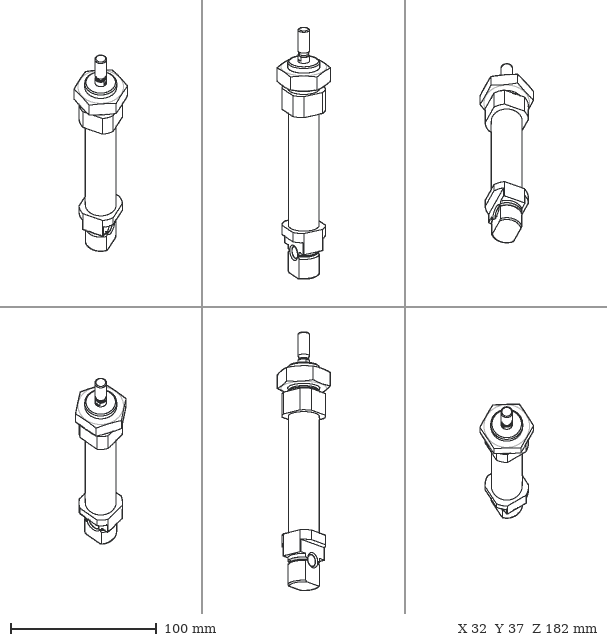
import cadquery as cq
import math

OVERALL_LENGTH = 182.0
EYE_HOLE_Z = 17.1
REAR_CAP_BOTTOM = 20.2
EYE_TOP = 29.1
TUBE_BOTTOM = 36.0
TUBE_TOP = 122.3
FRONT_BLOCK_TOP = 138.0
NUT_BOTTOM = 142.5
NUT_HEIGHT = 11.3
COLLAR_TOP = 158.2

TUBE_DIAMETER = 21.3
CAP_ACROSS_FLATS = 26.0
CAP_CORNER_DIAMETER = 30.0
THREAD_DIAMETER = 22.0
THREAD_CHAMFER = 1.0

RELIEF_DIAMETER = 19.7
RELIEF_WIDTH = 2.5
RELIEF_CORNER_RADIUS = 0.8
FRONT_RELIEF_SHOULDER = 140.0
REAR_RELIEF_SHOULDER = 17.7

EYE_THICKNESS = 16.0
EYE_HOLE_DIAMETER = 8.0
EYE_MOUTH_DIAMETER = 10.7
EYE_STEP_DIAMETER = 8.5

NUT_ACROSS_FLATS = 32.0
NUT_FACE_DIAMETER = 31.3
NUT_CHAMFER_ANGLE = 15.0

ROD_DIAMETER = 8.0
ROD_TIP_CHAMFER = 0.7
ROD_RELIEF_DIAMETER = 6.4
ROD_SHOULDER = 162.5
ROD_RELIEF_TOP = 163.6
ROD_THREAD_BOTTOM = 165.8
ROD_ACROSS_FLATS = 7.0
ROD_FLATS_BOTTOM = 159.6


def cylinder(diameter, bottom, top):
    return cq.Workplane("XY").workplane(offset=bottom).circle(diameter / 2).extrude(top - bottom)


def box(size_x, size_y, bottom, top):
    return cq.Workplane("XY").workplane(offset=bottom).rect(size_x, size_y).extrude(top - bottom)


def revolved(profile):
    """Turn a closed (radius, z) outline about the Z axis."""
    return cq.Workplane("XZ").polyline(profile).close().revolve(360, (0, 0), (0, 1))


def cap_block(bottom, top):
    """Square block whose corners are turned to a round."""
    square = box(CAP_ACROSS_FLATS, CAP_ACROSS_FLATS, bottom, top)
    return square.intersect(cylinder(CAP_CORNER_DIAMETER, bottom, top))


def thread_relief(shoulder_z, direction):
    """Ring cut with a filleted shoulder and a 45 degree thread start.

    The direction is 1 when the thread lies above the shoulder and -1 when it lies below.
    """
    thread_radius = THREAD_DIAMETER / 2
    relief_radius = RELIEF_DIAMETER / 2
    depth = thread_radius - relief_radius
    corner = RELIEF_CORNER_RADIUS
    corner_mid = corner * (1 - math.sqrt(0.5))
    profile = (
        cq.Workplane("XZ")
        .moveTo(thread_radius, shoulder_z)
        .lineTo(relief_radius + corner, shoulder_z)
        .threePointArc(
            (relief_radius + corner_mid, shoulder_z + direction * corner_mid),
            (relief_radius, shoulder_z + direction * corner),
        )
        .lineTo(relief_radius, shoulder_z + direction * (RELIEF_WIDTH - depth))
        .lineTo(thread_radius, shoulder_z + direction * RELIEF_WIDTH)
        .close()
    )
    return profile.revolve(360, (0, 0), (0, 1))


def front_collar():
    """Threaded collar that carries the nut and guides the rod."""
    collar = cylinder(THREAD_DIAMETER, FRONT_BLOCK_TOP, COLLAR_TOP)
    collar = collar.faces(">Z").chamfer(THREAD_CHAMFER)
    return collar.cut(thread_relief(FRONT_RELIEF_SHOULDER, 1))


def rear_end():
    """Rear cap with its eye, where the stub and the cap are flattened on both X sides."""
    stub = cylinder(THREAD_DIAMETER, 0, REAR_CAP_BOTTOM)
    stub = stub.faces("<Z").chamfer(THREAD_CHAMFER).cut(thread_relief(REAR_RELIEF_SHOULDER, -1))
    eye = stub.union(cap_block(REAR_CAP_BOTTOM, EYE_TOP))
    eye = eye.intersect(box(EYE_THICKNESS, CAP_ACROSS_FLATS, 0, EYE_TOP))
    return eye.union(cap_block(EYE_TOP, TUBE_BOTTOM)).cut(eye_hole())


def eye_hole():
    """Pin hole along X, with a 45 degree countersink and a narrow step at each mouth."""
    half_thickness = EYE_THICKNESS / 2
    hole_radius = EYE_HOLE_DIAMETER / 2
    step_radius = EYE_STEP_DIAMETER / 2
    mouth_radius = EYE_MOUTH_DIAMETER / 2
    step_x = half_thickness - (mouth_radius - step_radius)
    profile = [
        (-half_thickness, 0),
        (-half_thickness, mouth_radius),
        (-step_x, step_radius),
        (-step_x, hole_radius),
        (step_x, hole_radius),
        (step_x, step_radius),
        (half_thickness, mouth_radius),
        (half_thickness, 0),
    ]
    hole = cq.Workplane("XY").polyline(profile).close().revolve(360, (0, 0), (1, 0))
    return hole.translate((0, 0, EYE_HOLE_Z))


def make_housing():
    """Tube with its front and rear caps, bored for the rod through the front cap."""
    tube = cylinder(TUBE_DIAMETER, TUBE_BOTTOM, TUBE_TOP)
    front = cap_block(TUBE_TOP, FRONT_BLOCK_TOP).union(front_collar())
    rod_bore = cylinder(ROD_DIAMETER, TUBE_TOP, COLLAR_TOP)
    return rear_end().union(tube).union(front).cut(rod_bore)


def make_nut():
    """Hexagon nut with flats on the X sides and conical chamfers at both faces."""
    corner_radius = NUT_ACROSS_FLATS / math.sqrt(3)
    face_radius = NUT_FACE_DIAMETER / 2
    chamfer_height = (corner_radius - face_radius) * math.tan(math.radians(NUT_CHAMFER_ANGLE))
    nut_top = NUT_BOTTOM + NUT_HEIGHT
    hexagon = (
        cq.Workplane("XY")
        .workplane(offset=NUT_BOTTOM)
        .polygon(6, 2 * corner_radius)
        .extrude(NUT_HEIGHT)
        .rotate((0, 0, 0), (0, 0, 1), 30)
    )
    turned_blank = revolved([
        (0, NUT_BOTTOM),
        (face_radius, NUT_BOTTOM),
        (corner_radius, NUT_BOTTOM + chamfer_height),
        (corner_radius, nut_top - chamfer_height),
        (face_radius, nut_top),
        (0, nut_top),
    ])
    thread_hole = cylinder(THREAD_DIAMETER, NUT_BOTTOM, nut_top)
    return hexagon.intersect(turned_blank).cut(thread_hole)


def make_rod():
    """Piston rod with a chamfered tip, a thread relief and two wrench flats."""
    rod_radius = ROD_DIAMETER / 2
    relief_radius = ROD_RELIEF_DIAMETER / 2
    rod = revolved([
        (0, TUBE_TOP),
        (rod_radius, TUBE_TOP),
        (rod_radius, ROD_SHOULDER),
        (relief_radius, ROD_SHOULDER),
        (relief_radius, ROD_RELIEF_TOP),
        (rod_radius, ROD_THREAD_BOTTOM),
        (rod_radius, OVERALL_LENGTH - ROD_TIP_CHAMFER),
        (rod_radius - ROD_TIP_CHAMFER, OVERALL_LENGTH),
        (0, OVERALL_LENGTH),
    ])
    flats_zone = cylinder(ROD_DIAMETER, ROD_FLATS_BOTTOM, ROD_SHOULDER)
    flats_core = box(ROD_ACROSS_FLATS, ROD_DIAMETER, ROD_FLATS_BOTTOM, ROD_SHOULDER)
    return rod.cut(flats_zone.cut(flats_core))


housing = make_housing()
nut = make_nut()
piston_rod = make_rod()

result = cq.Compound.makeCompound([housing.val(), nut.val(), piston_rod.val()])